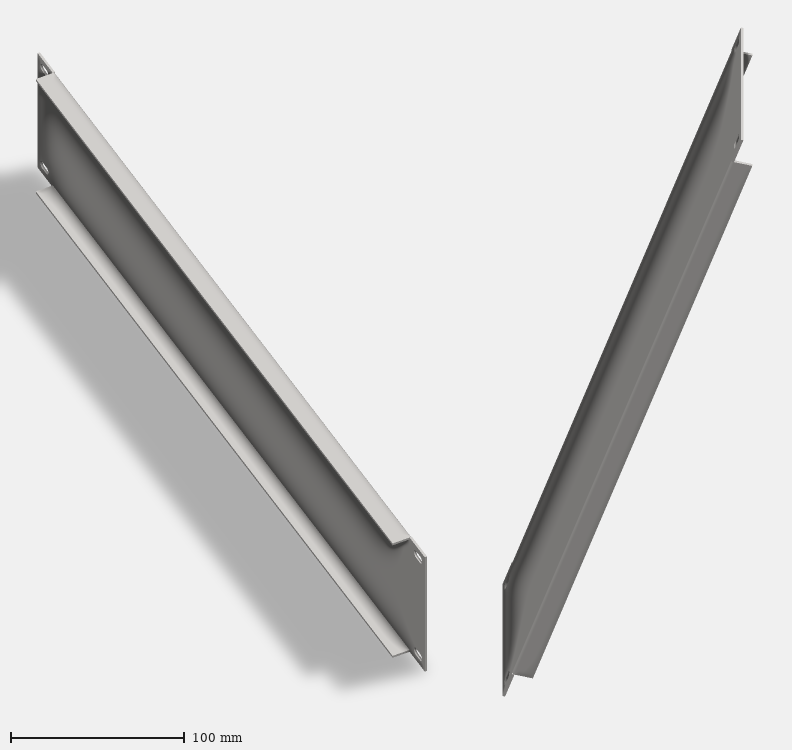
import cadquery as cq

panel_width = 482.0
panel_height = 89.5
overall_depth = 12.5
sheet_thickness = 1.5
flange_length = 444.0
bend_outer_radius = sheet_thickness

slot_length = 10.0
slot_height = 5.0
slot_spacing_x = 465.0
slot_spacing_z = 76.2


def make_plate():
    """Flat sheet over the full width, including both ears."""
    return cq.Workplane("XZ").rect(panel_width, panel_height).extrude(sheet_thickness)


def make_folded_channel():
    """Middle length of the panel: web and two flanges with rounded outer bends."""
    block = (
        cq.Workplane("XZ")
        .rect(flange_length, panel_height)
        .extrude(overall_depth)
        .edges("|X and >Y")
        .fillet(bend_outer_radius)
    )
    hollow = (
        cq.Workplane("XZ", origin=(0, -sheet_thickness, 0))
        .rect(flange_length, panel_height - 2 * sheet_thickness)
        .extrude(overall_depth - sheet_thickness)
    )
    return block.cut(hollow)


def make_ears():
    """Square-edged ends of the plate, beyond the folded length."""
    folded_length = cq.Workplane("XZ").rect(flange_length, panel_height).extrude(sheet_thickness)
    return make_plate().cut(folded_length)


def make_slot_cutters():
    """Four horizontal slots passing through the sheet."""
    return (
        cq.Workplane("XZ")
        .rarray(slot_spacing_x, slot_spacing_z, 2, 2)
        .slot2D(slot_length, slot_height)
        .extrude(sheet_thickness)
    )


panel = make_folded_channel().union(make_ears())
result = panel.cut(make_slot_cutters()).clean()